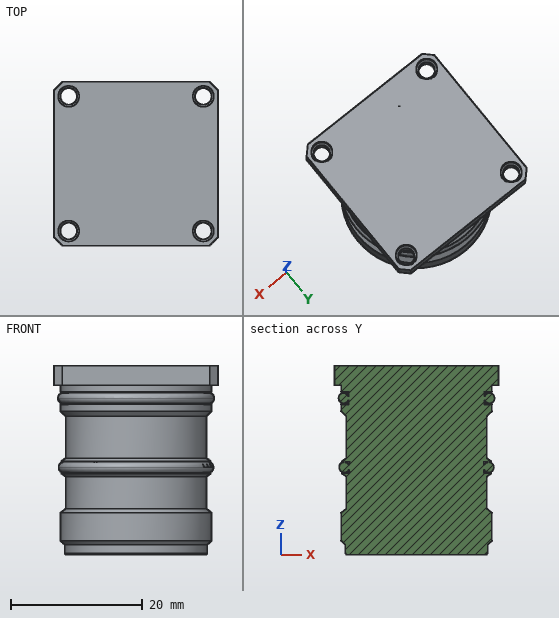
import cadquery as cq

height = 28.8
flange_side = 25.0
flange_thickness = 3.0
corner_chamfer = 1.3

hole_pitch = 20.5
bore_diameter = 3.2
through_diameter = 2.5
bore_depth = 0.78
seat_depth = (bore_diameter - through_diameter) / 2

body_radius = 10.75
collar_radius = 11.52
band_radius = 11.4
tip_radius = 10.9
tip_chamfer = 0.2

foot_cone_bottom = 1.53
foot_bottom = 2.1
foot_top = 6.4
foot_cone_top = 7.03
band_center = 13.3
band_half_height = 0.95
band_half_height_with_cones = 1.4
collar_cone_bottom = 21.08
collar_bottom = 21.83

ring_section_radius = 0.8
ring_squeeze = 0.05
upper_ring_height = 23.85
upper_ring_outer_radius = 11.92
upper_groove_width = 1.93
lower_ring_outer_radius = 11.8
lower_groove_width = 1.65


def make_flange():
    bottom = height - flange_thickness
    plate = (
        cq.Workplane("XY", origin=(0, 0, bottom))
        .rect(flange_side, flange_side)
        .extrude(flange_thickness)
        .edges("|Z")
        .chamfer(corner_chamfer)
    )
    bore_r = bore_diameter / 2
    through_r = through_diameter / 2
    seat_top = height - bore_depth
    hole = (
        cq.Workplane("XZ")
        .moveTo(0, bottom)
        .lineTo(through_r, bottom)
        .lineTo(through_r, seat_top - seat_depth)
        .lineTo(bore_r, seat_top)
        .lineTo(bore_r, height)
        .lineTo(0, height)
        .close()
        .revolve(360, (0, 0, 0), (0, 1, 0))
    )
    for x in (-hole_pitch / 2, hole_pitch / 2):
        for y in (-hole_pitch / 2, hole_pitch / 2):
            plate = plate.cut(hole.translate((x, y, 0)))
    return plate


def make_body():
    """Revolve the stepped outline, without the O-ring grooves."""
    flange_bottom = height - flange_thickness
    outline = [
        (0, 0),
        (tip_radius - tip_chamfer, 0),
        (tip_radius, tip_chamfer),
        (tip_radius, foot_cone_bottom),
        (collar_radius, foot_bottom),
        (collar_radius, foot_top),
        (body_radius, foot_cone_top),
        (body_radius, band_center - band_half_height_with_cones),
        (band_radius, band_center - band_half_height),
        (band_radius, band_center + band_half_height),
        (body_radius, band_center + band_half_height_with_cones),
        (body_radius, collar_cone_bottom),
        (collar_radius, collar_bottom),
        (collar_radius, flange_bottom),
        (0, flange_bottom),
    ]
    return cq.Workplane("XZ").polyline(outline).close().revolve(360, (0, 0, 0), (0, 1, 0))


def add_ring(body, center_height, outer_radius, groove_width):
    """Cut a groove and seat an O-ring pressed slightly into its floor."""
    ring_center_radius = outer_radius - ring_section_radius
    floor_radius = ring_center_radius - ring_section_radius + ring_squeeze
    groove = (
        cq.Workplane("XY", origin=(0, 0, center_height - groove_width / 2))
        .circle(outer_radius)
        .circle(floor_radius)
        .extrude(groove_width)
    )
    ring = (
        cq.Workplane("XZ")
        .center(ring_center_radius, center_height)
        .circle(ring_section_radius)
        .revolve(360, (-ring_center_radius, 0, 0), (-ring_center_radius, 1, 0))
    )
    return body.cut(groove).union(ring)


body = make_body()
body = add_ring(body, upper_ring_height, upper_ring_outer_radius, upper_groove_width)
body = add_ring(body, band_center, lower_ring_outer_radius, lower_groove_width)
result = make_flange().union(body)